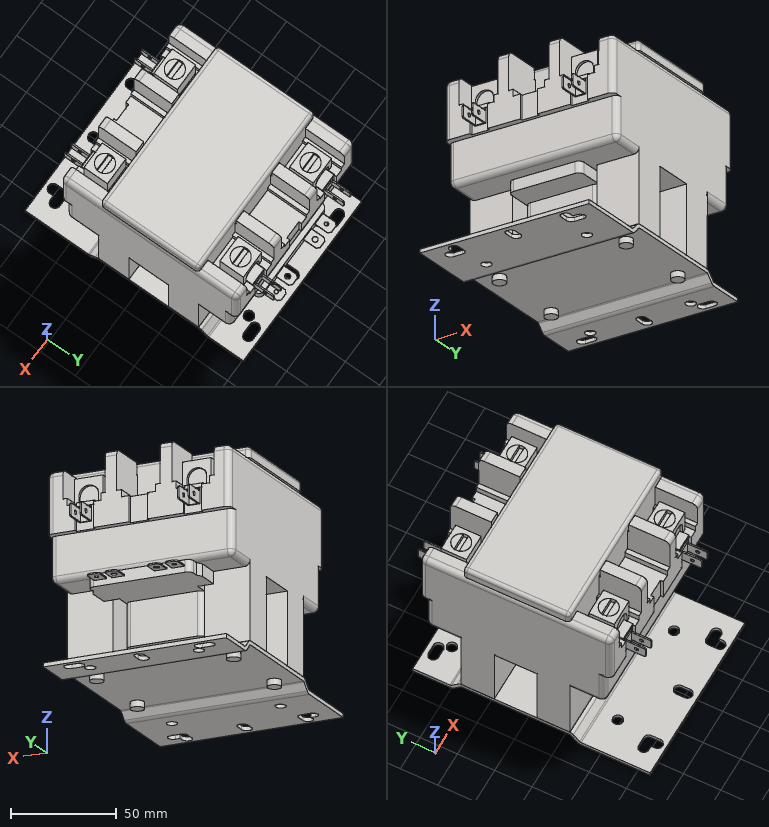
import cadquery as cq
PLATE_THICK = 2.1
SEAT_Z = 6.8
COIL_BOTTOM_Z = 15.5
FLANGE_BOTTOM_Z = 38.2
HOUSING_BOTTOM_Z = 44.4
STEP_Z = 67.6
BAY_FLOOR_Z = 80.7
BAY_LEDGE_Z = 84.3
WALL_TOP_Z = 99.2
TOP_Z = 105.2

CONTACTOR_Y = 5.6
HALF_WIDTH = 48.2
CORE_HALF_Y = 29.1
LOWER_HALF_Y = 47.8
UPPER_HALF_Y = 51.2
CAP_HALF_X = 47.5
CAP_HALF_Y = 28.5
EDGE_RADIUS = 3.0
CAP_RADIUS = 2.0

LEG_INNER_X = 24.1
WINDOW_HALF_Y = 11.5

RIB_INNER_X = 11.5
RIB_OUTER_X = 17.5
WALL_INNER_X = 39.8
LEDGE_INSET_MIDDLE = 2.5
LEDGE_INSET_SIDE = 2.3
MIDDLE_BAY = (-RIB_INNER_X, RIB_INNER_X, LEDGE_INSET_MIDDLE)
SIDE_BAYS = [
    (-WALL_INNER_X, -RIB_OUTER_X, LEDGE_INSET_SIDE),
    (RIB_OUTER_X, WALL_INNER_X, LEDGE_INSET_SIDE),
]
GROOVE_WIDTH = 9.7
GROOVE_DEPTH = 1.6

TERMINAL_X = 28.5
BLOCK_WIDTH = 14.9
BLOCK_INNER_Y = 32.7
BLOCK_OUTER_Y = 46.4
BLOCK_TOP_Z = 95.1
SCREW_DIA = 10.0
SCREW_Y = 39.5
SLOT_WIDTH = 2.7
SLOT_DEPTH = 2.7
SCREW_SINK = 0.1
WIRE_ENTRY_WIDTH = 10.4
WIRE_ENTRY_TOP_Z = 91.1
WIRE_ENTRY_DEPTH = 1.5
LIP_TOP_Z = 81.8
LIP_THICK = 2.0
LIP_PROUD = 0.3
CLIP_TOP_Z = 79.3
BLADE_SPAN = 6.3
BLADE_THICK = 0.8
BLADE_BOTTOM_Z = 71.6
BLADE_TOP_Z = 78.1
BLADE_TIP_Y = 60.9
BLADE_TIP_CHAMFER = 0.7
BLADE_HOLE_DIA = 2.0
BLADE_HOLE_Y = 55.9

COIL_HALF_X = 20.6
COIL_HALF_Y = 23.3
FLANGE_FRONT_Y = 37.9
FLANGE_REAR_HALF_X = 27.1
FLANGE_REAR_Y = 50.2
SHOULDER_HALF_X = 28.9
SHOULDER_TAPER_Y = 41.0
SHOULDER_END_Y = 44.0
COIL_TAB_Z = 41.2
COIL_TAB_THICK = 0.7
COIL_TAB_WIDTH = 6.5
COIL_TAB_TIP_Y = 58.8
COIL_TAB_HOLE_Y = 54.5
COIL_TAB_CORNER = 1.3
COIL_TABS = [(-20.5, 2.0), (-11.2, 2.8), (11.2, 2.8), (20.5, 2.0)]

PLATE_WIDTH = 96.5
PLATE_FRONT_Y = -66.5
PLATE_REAR_Y = 60.8
BEND_HALF_Y = 33.8
BEND_SHIFT = 0.88
BEND_INNER_RADIUS = 1.0
BEND_OUTER_RADIUS = BEND_INNER_RADIUS + PLATE_THICK
SLOT_DIA = 5.3
SLOT_OUTER_X = 36.8
SLOT_INNER_X = 31.8
KEYHOLE_Y = -57.1
KEYHOLE_FOOT_Y = -61.9
REAR_SLOT_Y = 55.6
MIDDLE_SLOT_LENGTH = 9.8
MIDDLE_SLOT_FRONT_Y = -58.8
MIDDLE_SLOT_REAR_Y = 53.3
SMALL_HOLE_X = 28.6
SMALL_HOLE_HALF_Y = 44.4
SMALL_HOLE_DIA = 5.3
RIVET_DIA = 6.9
RIVET_X = 36.0
RIVET_HALF_Y = 22.1
RIVET_BOTTOM_Z = 1.5


def block(x0, x1, y0, y1, z0, z1):
    """Box between two opposite corners."""
    return cq.Workplane("XY").box(x1 - x0, y1 - y0, z1 - z0, centered=False).translate((x0, y0, z0))


def centred_block(half_x, half_y, z0, z1):
    return block(-half_x, half_x, -half_y, half_y, z0, z1)


def both_ends(feature):
    """A feature at the -Y end together with its mirror image at the +Y end."""
    return feature.union(feature.mirror("XZ"))


def housing():
    lower = centred_block(HALF_WIDTH, LOWER_HALF_Y, HOUSING_BOTTOM_Z, STEP_Z)
    lower = lower.edges("|Z or <Z").fillet(EDGE_RADIUS)
    upper = centred_block(HALF_WIDTH, UPPER_HALF_Y, STEP_Z, WALL_TOP_Z)
    upper = upper.edges("|Z or >Z").fillet(EDGE_RADIUS)
    cap = centred_block(CAP_HALF_X, CAP_HALF_Y, WALL_TOP_Z, TOP_Z)
    cap = cap.edges("|Z or >Z").fillet(CAP_RADIUS)
    return lower.union(upper).union(cap)


def bays():
    """Open pockets at the -Y end, each with a ledge along its sides."""
    pockets = cq.Workplane("XY")
    for x0, x1, inset in [MIDDLE_BAY, *SIDE_BAYS]:
        wide = block(x0, x1, -UPPER_HALF_Y, -CAP_HALF_Y, BAY_LEDGE_Z, TOP_Z)
        narrow = block(x0 + inset, x1 - inset, -UPPER_HALF_Y, -CAP_HALF_Y, BAY_FLOOR_Z, TOP_Z)
        pockets = pockets.union(wide).union(narrow)
    return pockets


def grooves():
    """Upright grooves in the -Y wall below each bay."""
    cuts = cq.Workplane("XY")
    for x in (-TERMINAL_X, 0, TERMINAL_X):
        cuts = cuts.union(block(x - GROOVE_WIDTH / 2, x + GROOVE_WIDTH / 2, -UPPER_HALF_Y,
                                GROOVE_DEPTH - UPPER_HALF_Y, STEP_Z, BAY_FLOOR_Z))
    return cuts


def ribs():
    """Two barrier ribs at the -Y end, standing clear of the cap."""
    pair = cq.Workplane("XY")
    for x0, x1 in ((-RIB_OUTER_X, -RIB_INNER_X), (RIB_INNER_X, RIB_OUTER_X)):
        rib = block(x0, x1, -UPPER_HALF_Y, -CORE_HALF_Y, BAY_LEDGE_Z, TOP_Z)
        pair = pair.union(rib.faces("<Y").edges(">Z").fillet(EDGE_RADIUS))
    return pair


def screw_recess(x):
    """Sunk circle of the screw head with its driver slot."""
    block_top = cq.Workplane("XY", origin=(x, -SCREW_Y, BLOCK_TOP_Z))
    head = block_top.circle(SCREW_DIA / 2).extrude(-SCREW_SINK)
    slot = block_top.circle(SCREW_DIA / 2).extrude(-SLOT_DEPTH)
    return head.union(slot.intersect(block_top.rect(SCREW_DIA, SLOT_WIDTH).extrude(-SLOT_DEPTH)))


def terminal(x):
    """Screw terminal at the -Y end with its lip and its pair of blades."""
    body = block(x - BLOCK_WIDTH / 2, x + BLOCK_WIDTH / 2, -BLOCK_OUTER_Y, -BLOCK_INNER_Y,
                 BAY_FLOOR_Z, BLOCK_TOP_Z)
    body = body.cut(screw_recess(x))
    arch_radius = WIRE_ENTRY_WIDTH / 2
    entry = (cq.Workplane("XZ", origin=(x, -BLOCK_OUTER_Y, 0))
             .moveTo(-arch_radius, BAY_FLOOR_Z)
             .lineTo(-arch_radius, WIRE_ENTRY_TOP_Z - arch_radius)
             .threePointArc((0, WIRE_ENTRY_TOP_Z), (arch_radius, WIRE_ENTRY_TOP_Z - arch_radius))
             .lineTo(arch_radius, BAY_FLOOR_Z).close().extrude(-WIRE_ENTRY_DEPTH))
    groove_floor_y = -UPPER_HALF_Y + GROOVE_DEPTH
    lip = block(x - GROOVE_WIDTH / 2, x + GROOVE_WIDTH / 2, groove_floor_y - LIP_PROUD,
                -BLOCK_OUTER_Y + WIRE_ENTRY_DEPTH, LIP_TOP_Z - LIP_THICK, LIP_TOP_Z)
    return body.cut(entry).union(lip).union(blades(x, groove_floor_y))


def blades(x, root_y):
    """Clip against the groove floor carrying two upright blades with a cross hole."""
    half_span = BLADE_SPAN / 2
    clip = block(x - half_span, x + half_span, root_y - BLADE_THICK, root_y,
                 BLADE_BOTTOM_Z, CLIP_TOP_Z)
    for x0 in (x - half_span, x + half_span - BLADE_THICK):
        blade = block(x0, x0 + BLADE_THICK, -BLADE_TIP_Y, root_y, BLADE_BOTTOM_Z, BLADE_TOP_Z)
        clip = clip.union(blade.faces("<Y").edges("|X").chamfer(BLADE_TIP_CHAMFER))
    hole_z = (BLADE_BOTTOM_Z + BLADE_TOP_Z) / 2
    hole = (cq.Workplane("YZ", origin=(x - half_span, -BLADE_HOLE_Y, hole_z))
            .circle(BLADE_HOLE_DIA / 2).extrude(BLADE_SPAN))
    return clip.cut(hole)


def core_legs():
    legs = centred_block(HALF_WIDTH, CORE_HALF_Y, SEAT_Z, STEP_Z)
    legs = legs.cut(centred_block(LEG_INNER_X, CORE_HALF_Y, SEAT_Z, HOUSING_BOTTOM_Z))
    return legs.cut(centred_block(HALF_WIDTH, WINDOW_HALF_Y, SEAT_Z, HOUSING_BOTTOM_Z))


def coil():
    winding = centred_block(COIL_HALF_X, COIL_HALF_Y, COIL_BOTTOM_Z, HOUSING_BOTTOM_Z)
    return winding.edges("|Z").fillet(EDGE_RADIUS)


def bobbin_flange():
    """Flange above the coil, widening behind the core legs to carry the coil tabs."""
    front = block(-COIL_HALF_X, COIL_HALF_X, -FLANGE_FRONT_Y, 0, FLANGE_BOTTOM_Z, HOUSING_BOTTOM_Z)
    front = front.faces("<Y").edges("|Z").fillet(EDGE_RADIUS)
    centre = block(-COIL_HALF_X, COIL_HALF_X, 0, SHOULDER_END_Y, FLANGE_BOTTOM_Z, HOUSING_BOTTOM_Z)
    rear = block(-FLANGE_REAR_HALF_X, FLANGE_REAR_HALF_X, CORE_HALF_Y, FLANGE_REAR_Y,
                 FLANGE_BOTTOM_Z, HOUSING_BOTTOM_Z)
    rear = rear.faces(">Y").edges("|Z").fillet(EDGE_RADIUS)
    shoulder = (cq.Workplane("XY", origin=(0, 0, FLANGE_BOTTOM_Z))
                .moveTo(-SHOULDER_HALF_X, CORE_HALF_Y)
                .lineTo(SHOULDER_HALF_X, CORE_HALF_Y)
                .lineTo(SHOULDER_HALF_X, SHOULDER_TAPER_Y)
                .lineTo(FLANGE_REAR_HALF_X, SHOULDER_END_Y)
                .lineTo(-FLANGE_REAR_HALF_X, SHOULDER_END_Y)
                .lineTo(-SHOULDER_HALF_X, SHOULDER_TAPER_Y)
                .close().extrude(HOUSING_BOTTOM_Z - FLANGE_BOTTOM_Z))
    return front.union(centre).union(rear).union(shoulder)


def coil_tab(x, hole_dia):
    tab = block(x - COIL_TAB_WIDTH / 2, x + COIL_TAB_WIDTH / 2, SHOULDER_END_Y, COIL_TAB_TIP_Y,
                COIL_TAB_Z, COIL_TAB_Z + COIL_TAB_THICK)
    tab = tab.faces(">Y").edges("|Z").chamfer(COIL_TAB_CORNER)
    hole = (cq.Workplane("XY", origin=(x, COIL_TAB_HOLE_Y, COIL_TAB_Z))
            .circle(hole_dia / 2).extrude(COIL_TAB_THICK))
    return tab.cut(hole)


def make_contactor():
    body = housing().cut(both_ends(bays())).cut(both_ends(grooves())).union(both_ends(ribs()))
    for x in (-TERMINAL_X, TERMINAL_X):
        body = body.union(both_ends(terminal(x)))
    body = body.union(core_legs()).union(coil()).union(bobbin_flange())
    for x, hole_dia in COIL_TABS:
        body = body.union(coil_tab(x, hole_dia))
    return body.translate((0, CONTACTOR_Y, 0))


def plate_sheet():
    """Sheet with a raised middle, bent at 45 degrees on both sides."""
    rise = SEAT_Z - PLATE_THICK
    front_bend = CONTACTOR_Y - BEND_HALF_Y
    rear_bend = CONTACTOR_Y + BEND_HALF_Y
    outline = [
        (PLATE_FRONT_Y, 0),
        (front_bend, 0),
        (front_bend + rise, rise),
        (rear_bend - rise, rise),
        (rear_bend, 0),
        (PLATE_REAR_Y, 0),
        (PLATE_REAR_Y, PLATE_THICK),
        (rear_bend + BEND_SHIFT, PLATE_THICK),
        (rear_bend + BEND_SHIFT - rise, SEAT_Z),
        (front_bend - BEND_SHIFT + rise, SEAT_Z),
        (front_bend - BEND_SHIFT, PLATE_THICK),
        (PLATE_FRONT_Y, PLATE_THICK),
    ]
    sheet = cq.Workplane("YZ", origin=(-PLATE_WIDTH / 2, 0, 0)).polyline(outline).close().extrude(PLATE_WIDTH)
    for y, z, radius in (
        (BEND_HALF_Y, 0, BEND_OUTER_RADIUS),
        (BEND_HALF_Y - rise, rise, BEND_INNER_RADIUS),
        (BEND_HALF_Y + BEND_SHIFT, PLATE_THICK, BEND_INNER_RADIUS),
        (BEND_HALF_Y + BEND_SHIFT - rise, SEAT_Z, BEND_OUTER_RADIUS),
    ):
        for end in (-1, 1):
            sheet = sheet.edges(cq.NearestToPointSelector((0, CONTACTOR_Y + end * y, z))).fillet(radius)
    return sheet


def slot_cut(x, y, length, angle):
    return cq.Workplane("XY", origin=(x, y, 0)).slot2D(length, SLOT_DIA, angle).extrude(PLATE_THICK)


def plate_openings():
    """Middle slots, L-shaped front slots, straight rear slots and small round holes."""
    cuts = slot_cut(0, MIDDLE_SLOT_FRONT_Y, MIDDLE_SLOT_LENGTH, 90)
    cuts = cuts.union(slot_cut(0, MIDDLE_SLOT_REAR_Y, MIDDLE_SLOT_LENGTH, 90))
    arm_length = SLOT_OUTER_X - SLOT_INNER_X + SLOT_DIA
    arm_x = (SLOT_OUTER_X + SLOT_INNER_X) / 2
    foot_length = KEYHOLE_Y - KEYHOLE_FOOT_Y + SLOT_DIA
    foot_y = (KEYHOLE_Y + KEYHOLE_FOOT_Y) / 2
    for side in (-1, 1):
        cuts = cuts.union(slot_cut(side * arm_x, KEYHOLE_Y, arm_length, 0))
        cuts = cuts.union(slot_cut(side * SLOT_INNER_X, foot_y, foot_length, 90))
        cuts = cuts.union(slot_cut(side * arm_x, REAR_SLOT_Y, arm_length, 0))
        for end in (-1, 1):
            hole = cq.Workplane("XY", origin=(side * SMALL_HOLE_X, CONTACTOR_Y + end * SMALL_HOLE_HALF_Y, 0))
            cuts = cuts.union(hole.circle(SMALL_HOLE_DIA / 2).extrude(PLATE_THICK))
    return cuts


def rivet_heads():
    return (cq.Workplane("XY", origin=(0, CONTACTOR_Y, RIVET_BOTTOM_Z))
            .rect(2 * RIVET_X, 2 * RIVET_HALF_Y, forConstruction=True).vertices()
            .circle(RIVET_DIA / 2).extrude(SEAT_Z - PLATE_THICK - RIVET_BOTTOM_Z))


def make_plate():
    return plate_sheet().cut(plate_openings()).union(rivet_heads())


contactor = make_contactor()
plate = make_plate()
result = cq.Compound.makeCompound([contactor.val(), plate.val()])